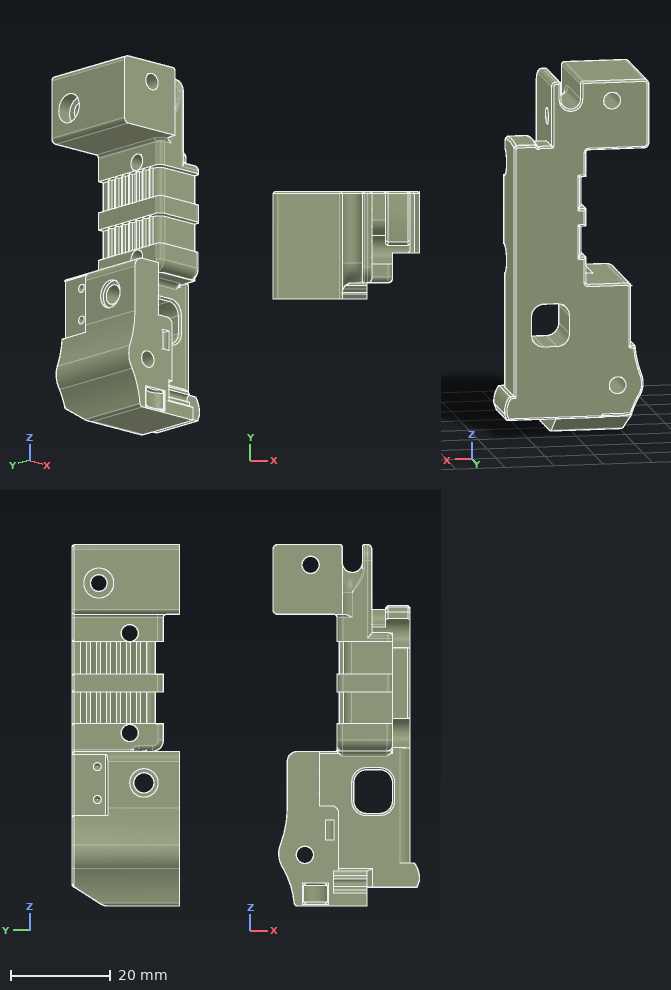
import cadquery as cq
import math

DEPTH = 21.6
HEIGHT = 72.5
BACK_CHAMFER = 0.4

PLATE_FRONT = 9.2
PLATE_LEFT = 9.3
PLATE_RIGHT = 27.5
PLATE_BOTTOM = 3.75
PLATE_EDGE_ROUND = 2.0
PLATE_EDGE_CHAMFER = 0.5

FOOT_TOP = 8.65
FOOT_TIP = 29.4

BLOCK_LEFT = 2.87
BLOCK_TOP = 31.0
BLOCK_TOP_ROUND = 2.0
BLOCK_STEP_X = 13.15
BLOCK_STEP_Z = 20.1
BLOCK_STEP_ROUND = 1.4
NOSE_HOLE_X = 6.42
NOSE_HOLE_Z = 10.27
BASE_RIGHT = 18.9
CORNER_CUT_Y = 6.4
CORNER_CUT_Z = 4.1
CORNER_CUT_ROUND = 3.0
BLOCK_ROOT_ROUND = 0.4

RAIL_LEFT = 12.2
RAIL_LIP = 2.65
RAIL_LIP_TOP = 3.2
RAIL_FRONT = 1.0
RAIL_NOSE = 1.3
RAIL_SHOULDER = 6.65
RAIL_SHOULDER_Y = 2.0
RAIL_BEVEL = 0.5
RAIL_CREST = 2.75
RAIL_TOP = 7.05
RAIL_GROOVE_Z = 4.7
RAIL_GROOVE_RADIUS = 0.75
GUSSET_WIDTH = 1.1
GUSSET_RISE = 0.45
GUSSET_DEPTH = 1.0

SLOT_X = 11.42
SLOT_Y = 0.47
SLOT_DIAMETER = 1.9
SLOT_BOTTOM = 13.25
SLOT_TOP = 17.3
POCKET_X = 8.55
POCKET_Y = -1.55
POCKET_DIAMETER = 6.0
POCKET_CHAMFER = 0.5
POCKET_MOUTH = 0.2
POCKET_BOTTOM = 0.35
POCKET_HEIGHT = 4.25
RECESS_FLOOR = 3.7
RECESS_SLANT = 0.45
RECESS_FRONT = 14.4
RECESS_BOTTOM = 18.15
RECESS_TOP = 30.4
PIN_DIAMETER = 1.6
PIN_DEPTH = 2.0
PIN_TIP_TAPER = 44.9
PIN_Y = 16.5
PIN_HEIGHTS = (21.35, 27.95)

WINDOW_LEFT = 16.25
WINDOW_RIGHT = 23.95
WINDOW_BOTTOM = 18.6
WINDOW_TOP = 27.3
WINDOW_ROUND = 2.5
WINDOW_CHAMFER = 0.45

BOLT_DIAMETER = 3.4
COUNTERBORE_DIAMETER = 6.0
HEAD_HOLE_X = 7.56
HEAD_HOLE_Z = 68.4
HEAD_BOLT_DIAMETER = 3.3
HEAD_BOLT_Y = 16.2
HEAD_BOLT_Z = 64.75
HEAD_COUNTERBORE_DEPTH = 3.0
LATCH_DIAMETER = 4.0
LATCH_COUNTERBORE = 5.7
LATCH_COUNTERBORE_DEPTH = 0.75
LATCH_Y = 7.16
LATCH_Z = 24.7

RING_LEFT = 12.84
RING_RIGHT = 24.0
RING_FRONT = 3.25
RING_LEFT_ROUND = 1.2
RING_RIGHT_ROUND = 0.9
LOW_RING_BOTTOM = 31.05
LOW_RING_TOP = 36.6
LOW_RING_ROUND = 1.1
LOW_RING_NOSE = 2.2
LOW_RING_ROOT = 1.1
MIDDLE_RING_BOTTOM = 42.9
MIDDLE_RING_TOP = 46.5
TOP_RING_BOTTOM = 53.0
COLUMN_LEFT = 14.15
COLUMN_FRONT = 4.85
COLUMN_ROUND = 1.6
RIB_LEFT = 13.3
RIB_PITCH = 2.0
RIB_COUNT = 7
RIB_WIDTH = 1.2
FIRST_RIB_Y = 6.65
BOLT_Y = 10.0
LOW_BOLT_Z = 34.7
TOP_BOLT_Z = 54.7

HEAD_RIGHT = 13.93
HEAD_BOTTOM = 58.45
HEAD_ROUND = 1.0
HEAD_INNER_ROUND = 0.6
SADDLE_RADIUS = 2.0
SADDLE_X = HEAD_RIGHT + SADDLE_RADIUS
SADDLE_BEND = 4.0
SADDLE_FLOOR = 66.9
WALL_LEFT = SADDLE_X + SADDLE_RADIUS
WALL_RIGHT = 19.83
WALL_CORNER_ROUND = 3.2
WALL_EDGE_ROUND = 0.9
WALL_INNER_ROUND = 0.4
NECK_ROUND = 0.6

SHELF_TOP = 54.85
SHELF_ROUND = 1.2
REST_TOP = 59.5
REST_FRONT = 12.75
REST_ROUND = 3.1
TAB_LEFT = 22.6
TAB_FRONT = 10.7
TAB_TOP = 60.3
TAB_SHOULDER = 59.8
TAB_CREST_Y = 15.8
TAB_NOSE_CHAMFER = 0.8
TAB_SIDE_CHAMFER = 0.45


def box(x0, x1, y0, y1, z0, z1):
    return cq.Workplane("XY").box(x1 - x0, y1 - y0, z1 - z0, centered=False).translate((x0, y0, z0))


def rod_x(diameter, x0, x1, y, z):
    return cq.Workplane("YZ", origin=(x0, y, z)).circle(diameter / 2).extrude(x1 - x0)


def rod_y(diameter, x, z, y0, y1):
    return cq.Workplane("XZ", origin=(x, y0, z)).circle(diameter / 2).extrude(y0 - y1)


def front_sketch(y):
    """Workplane facing -Y at depth y, with local axes X and Z."""
    return cq.Workplane("XZ", origin=(0, y, 0))


def side_sketch(x):
    """Workplane at position x with local axes Y and Z."""
    return cq.Workplane("YZ", origin=(x, 0, 0))


def edges_near(part, corner, opposite):
    """Edges whose centres lie in the box between two corners, widened by a small margin."""
    margin = 0.05
    low = tuple(value - margin for value in corner)
    high = tuple(value + margin for value in opposite)
    return part.edges(cq.selectors.BoxSelector(low, high))


def make_lower_block():
    """Block with a rounded nose on the left and the lower back corner cut away."""
    outline = (
        front_sketch(0)
        .moveTo(BASE_RIGHT, 0)
        .lineTo(4.9, 0)
        .threePointArc((4.45, 0.2), (4.25, 0.6))
        .threePointArc((3.5, 4.25), (2.1, 7.5))
        .threePointArc((1.15, 10.3), (1.45, 12.2))
        .threePointArc((2.5, 15.9), (BLOCK_LEFT, 19.7))
        .lineTo(BLOCK_LEFT, BLOCK_TOP - BLOCK_TOP_ROUND)
        .radiusArc((BLOCK_LEFT + BLOCK_TOP_ROUND, BLOCK_TOP), BLOCK_TOP_ROUND)
        .lineTo(PLATE_LEFT, BLOCK_TOP)
        .lineTo(PLATE_LEFT, BLOCK_STEP_Z)
        .lineTo(BLOCK_STEP_X - BLOCK_STEP_ROUND, BLOCK_STEP_Z)
        .radiusArc((BLOCK_STEP_X, BLOCK_STEP_Z - BLOCK_STEP_ROUND), BLOCK_STEP_ROUND)
        .lineTo(BLOCK_STEP_X, RAIL_TOP)
        .lineTo(BASE_RIGHT, RAIL_TOP)
        .close()
    )
    envelope = (
        side_sketch(0)
        .lineTo(DEPTH - CORNER_CUT_Y, 0)
        .lineTo(DEPTH, CORNER_CUT_Z)
        .lineTo(DEPTH, BLOCK_TOP)
        .lineTo(0, BLOCK_TOP)
        .close()
        .extrude(BASE_RIGHT)
    )
    envelope = envelope.faces("<Z").edges(">Y").fillet(CORNER_CUT_ROUND)
    return outline.extrude(-DEPTH).intersect(envelope)


def cut_rail(part):
    """Shape the front of the rail: sloped lip, round groove and sloped top edge."""
    cutter = (
        side_sketch(RAIL_LEFT)
        .moveTo(0, RAIL_LIP)
        .lineTo(RAIL_FRONT, RAIL_LIP_TOP)
        .lineTo(RAIL_FRONT, RAIL_GROOVE_Z - RAIL_GROOVE_RADIUS)
        .threePointArc(
            (RAIL_FRONT + RAIL_GROOVE_RADIUS, RAIL_GROOVE_Z),
            (RAIL_FRONT, RAIL_GROOVE_Z + RAIL_GROOVE_RADIUS),
        )
        .lineTo(RAIL_NOSE, RAIL_SHOULDER - RAIL_BEVEL)
        .lineTo(RAIL_SHOULDER_Y, RAIL_SHOULDER)
        .lineTo(RAIL_CREST, RAIL_TOP)
        .lineTo(0, RAIL_TOP)
        .close()
        .extrude(BASE_RIGHT - RAIL_LEFT)
    )
    return part.cut(cutter)


def make_rail_gusset():
    """Sloped foot that widens the rail where it meets the plate."""
    small = (BASE_RIGHT - BLOCK_STEP_X, RAIL_TOP - PLATE_BOTTOM)
    large = (small[0] + GUSSET_WIDTH, small[1] + GUSSET_RISE)
    tip = PLATE_FRONT - GUSSET_DEPTH
    return (
        cq.Workplane("XZ", origin=(BLOCK_STEP_X, tip, PLATE_BOTTOM))
        .rect(*small, centered=False)
        .workplane(offset=-GUSSET_DEPTH)
        .rect(*large, centered=False)
        .loft(ruled=True)
    )


def make_plate():
    """Plate with a rounded lower and a chamfered upper right edge, and the foot."""
    lower = box(PLATE_LEFT, RING_RIGHT, PLATE_FRONT, DEPTH, PLATE_BOTTOM, BLOCK_TOP)
    lower = lower.edges("|X and >Z and <Y").chamfer(BACK_CHAMFER)
    lower_edge = box(RING_RIGHT, PLATE_RIGHT, PLATE_FRONT, DEPTH, PLATE_BOTTOM, LOW_BOLT_Z)
    lower_edge = lower_edge.edges("|Z and >X and <Y").fillet(PLATE_EDGE_ROUND)
    upper_edge = box(RING_RIGHT, PLATE_RIGHT, PLATE_FRONT, DEPTH, LOW_BOLT_Z, TOP_BOLT_Z)
    upper_edge = upper_edge.edges("|Z and >X and <Y").chamfer(PLATE_EDGE_CHAMFER)
    foot = (
        front_sketch(PLATE_FRONT)
        .moveTo(BASE_RIGHT, PLATE_BOTTOM)
        .lineTo(FOOT_TIP - 0.5, PLATE_BOTTOM)
        .lineTo(FOOT_TIP, 5.1)
        .threePointArc((29.13, 7.2), (28.35, FOOT_TOP))
        .lineTo(BASE_RIGHT, FOOT_TOP)
        .close()
        .extrude(PLATE_FRONT - DEPTH)
    )
    return lower.union(lower_edge).union(upper_edge).union(foot)


def make_ring(bottom, top):
    ring = box(RING_LEFT, RING_RIGHT, RING_FRONT, DEPTH, bottom, top)
    ring = ring.edges("|Z and <Y and <X").fillet(RING_LEFT_ROUND)
    return ring.edges("|Z and <Y and >X").fillet(RING_RIGHT_ROUND)


def make_low_ring():
    """Lowest ring, rounded below and blended into the front of the plate."""
    ring = (
        side_sketch(RING_LEFT)
        .moveTo(DEPTH, LOW_RING_BOTTOM - LOW_RING_ROOT)
        .lineTo(PLATE_FRONT, LOW_RING_BOTTOM - LOW_RING_ROOT)
        .radiusArc((PLATE_FRONT - LOW_RING_ROOT, LOW_RING_BOTTOM), -LOW_RING_ROOT)
        .lineTo(RING_FRONT + LOW_RING_NOSE, LOW_RING_BOTTOM)
        .radiusArc((RING_FRONT, LOW_RING_BOTTOM + LOW_RING_NOSE), LOW_RING_NOSE)
        .lineTo(RING_FRONT, LOW_RING_TOP)
        .lineTo(DEPTH, LOW_RING_TOP)
        .close()
        .extrude(RING_RIGHT - RING_LEFT)
    )
    for side in ("<X", ">X"):
        ring = ring.faces(side).edges("not(>Y or >Z or <Z)").fillet(LOW_RING_ROUND)
    return ring


def make_column():
    """Column between the rings, with sawtooth ribs along its left side."""
    column = box(COLUMN_LEFT, RING_RIGHT, COLUMN_FRONT, DEPTH, LOW_RING_BOTTOM, TOP_RING_BOTTOM)
    column = column.edges("|Z and <Y and <X").fillet(COLUMN_ROUND)
    for index in range(RIB_COUNT):
        y = FIRST_RIB_Y + index * RIB_PITCH
        rib = (
            cq.Workplane("XY", origin=(0, 0, LOW_RING_BOTTOM))
            .moveTo(COLUMN_LEFT, y)
            .lineTo(RIB_LEFT, y)
            .lineTo(COLUMN_LEFT, y + RIB_WIDTH)
            .close()
            .extrude(TOP_RING_BOTTOM - LOW_RING_BOTTOM)
        )
        column = column.union(rib)
    return column


def make_head():
    head = box(0, HEAD_RIGHT, 0, DEPTH, HEAD_BOTTOM, HEIGHT)
    head = head.edges("|Y and <X").fillet(HEAD_ROUND)
    return head.edges("|Y and >X and >Z").fillet(HEAD_INNER_ROUND)


def make_wall():
    wall = box(WALL_LEFT, WALL_RIGHT, RING_FRONT, DEPTH, TOP_RING_BOTTOM, HEIGHT)
    wall = wall.edges("|X and <Y and >Z").fillet(WALL_CORNER_ROUND)
    return wall.faces(">X").edges("not(>Y or <Z)").fillet(WALL_EDGE_ROUND)


def make_saddle():
    """Web between head and wall, hollowed by a wire trough that bends from level to upright."""
    axis_z = SADDLE_FLOOR + SADDLE_RADIUS
    bend_radius = SADDLE_BEND + SADDLE_RADIUS
    bend_z = axis_z - bend_radius
    front = RING_FRONT - SADDLE_RADIUS
    bend_y = front + bend_radius
    bend_middle = bend_radius * math.sqrt(0.5)

    def bent_path(start):
        return (
            start.moveTo(DEPTH, axis_z)
            .lineTo(bend_y, axis_z)
            .threePointArc((bend_y - bend_middle, bend_z + bend_middle), (front, bend_z))
            .lineTo(front, HEAD_BOTTOM)
        )

    web_outline = bent_path(side_sketch(HEAD_RIGHT)).lineTo(DEPTH, HEAD_BOTTOM).close()
    web = web_outline.extrude(WALL_LEFT - HEAD_RIGHT)
    trough = (
        cq.Workplane("XZ", origin=(SADDLE_X, DEPTH, axis_z))
        .circle(SADDLE_RADIUS)
        .sweep(bent_path(side_sketch(SADDLE_X)))
    )
    ahead_of_wall = box(SADDLE_X, WALL_LEFT, front, RING_FRONT, HEAD_BOTTOM, HEIGHT)
    neck = box(RING_LEFT, WALL_LEFT, RING_FRONT, DEPTH, TOP_RING_BOTTOM, HEAD_BOTTOM)
    neck = neck.edges("|Z and <X and <Y").fillet(RING_LEFT_ROUND)
    return web.cut(trough).cut(ahead_of_wall).union(neck)


def make_upper_part():
    """Head, wall and saddle with the rounds along their common edges."""
    upper = make_wall().union(make_saddle())
    front_edges = edges_near(
        upper, (SADDLE_X + SADDLE_RADIUS / 4, RING_FRONT, HEAD_BOTTOM), (WALL_LEFT, RING_FRONT, HEIGHT)
    )
    corner_z = HEIGHT - WALL_CORNER_ROUND
    top_edges = edges_near(upper, (WALL_LEFT, RING_FRONT, corner_z), (WALL_LEFT, DEPTH - 1, HEIGHT))
    upper = front_edges.add(top_edges).fillet(WALL_INNER_ROUND)
    upper = upper.union(make_head())
    neck_edges = edges_near(upper, (RING_LEFT, RING_FRONT, HEAD_BOTTOM), (SADDLE_X, DEPTH - 1, HEAD_BOTTOM))
    return neck_edges.fillet(NECK_ROUND)


def make_hook():
    """Shelf on the top ring with the rounded rest and the hook tab behind it."""
    shelf = box(SADDLE_X, RING_RIGHT, RING_FRONT, DEPTH, TOP_RING_BOTTOM, SHELF_TOP)
    shelf = shelf.edges("|X and <Y and >Z").fillet(SHELF_ROUND)
    shelf = shelf.edges("|Z and <Y and >X").fillet(RING_RIGHT_ROUND)
    rest = box(WALL_LEFT, TAB_LEFT, REST_FRONT, DEPTH, TOP_RING_BOTTOM, REST_TOP)
    rest = rest.edges("|X and <Y and >Z").fillet(REST_ROUND)
    tab = (
        side_sketch(TAB_LEFT)
        .moveTo(DEPTH, TOP_BOLT_Z)
        .lineTo(DEPTH, TAB_SHOULDER)
        .threePointArc((TAB_CREST_Y, TAB_TOP), (TAB_FRONT, TAB_SHOULDER))
        .lineTo(TAB_FRONT, TOP_BOLT_Z)
        .close()
        .extrude(PLATE_RIGHT - TAB_LEFT)
    )
    tab = tab.faces("<Y").edges(">Z").chamfer(TAB_NOSE_CHAMFER)
    tab = tab.faces(">X").edges("not(>Y or <Z)").chamfer(TAB_SIDE_CHAMFER)
    tab = tab.faces("<X").edges("not(>Y or <Z)").chamfer(TAB_SIDE_CHAMFER)
    return shelf.union(rest).union(tab)


def make_block_root():
    """Concave fillet between the top of the lower block and the low ring."""
    return (
        front_sketch(PLATE_FRONT)
        .moveTo(RING_LEFT, BLOCK_TOP + BLOCK_ROOT_ROUND)
        .radiusArc((RING_LEFT - BLOCK_ROOT_ROUND, BLOCK_TOP), BLOCK_ROOT_ROUND)
        .lineTo(RING_RIGHT, BLOCK_TOP)
        .lineTo(RING_RIGHT, BLOCK_TOP + BLOCK_ROOT_ROUND)
        .close()
        .extrude(PLATE_FRONT - DEPTH)
    )


def cut_bolt_holes(part):
    for z, seat in ((LOW_BOLT_Z, RING_RIGHT), (TOP_BOLT_Z, WALL_RIGHT)):
        part = part.cut(rod_x(BOLT_DIAMETER, 0, FOOT_TIP, BOLT_Y, z))
        part = part.cut(rod_x(COUNTERBORE_DIAMETER, seat, FOOT_TIP, BOLT_Y, z))
    part = part.cut(rod_y(BOLT_DIAMETER, NOSE_HOLE_X, NOSE_HOLE_Z, 0, DEPTH))
    part = part.cut(rod_y(BOLT_DIAMETER, HEAD_HOLE_X, HEAD_HOLE_Z, 0, DEPTH))
    part = part.cut(rod_x(HEAD_BOLT_DIAMETER, 0, WALL_RIGHT, HEAD_BOLT_Y, HEAD_BOLT_Z))
    part = part.cut(rod_x(COUNTERBORE_DIAMETER, 0, HEAD_COUNTERBORE_DEPTH, HEAD_BOLT_Y, HEAD_BOLT_Z))
    part = part.cut(rod_x(LATCH_DIAMETER, 0, PLATE_LEFT, LATCH_Y, LATCH_Z))
    latch_seat = BLOCK_LEFT + LATCH_COUNTERBORE_DEPTH
    return part.cut(rod_x(LATCH_COUNTERBORE, 0, latch_seat, LATCH_Y, LATCH_Z))


def cut_window(part):
    """Rounded window through the plate with a chamfered front rim."""
    window = box(WINDOW_LEFT, WINDOW_RIGHT, PLATE_FRONT, DEPTH, WINDOW_BOTTOM, WINDOW_TOP)
    window = window.edges("|Y").fillet(WINDOW_ROUND)
    part = part.cut(window)
    rim = edges_near(
        part, (WINDOW_LEFT, PLATE_FRONT, WINDOW_BOTTOM), (WINDOW_RIGHT, PLATE_FRONT, WINDOW_TOP)
    )
    return rim.chamfer(WINDOW_CHAMFER)


def cut_block_pockets(part):
    """Slot and round-backed pocket in the front of the lower block."""
    slot = (
        cq.Workplane("XY", origin=(SLOT_X, SLOT_Y, SLOT_BOTTOM))
        .circle(SLOT_DIAMETER / 2)
        .extrude(SLOT_TOP - SLOT_BOTTOM)
    )
    pocket = (
        cq.Workplane("XY", origin=(POCKET_X, POCKET_Y, POCKET_BOTTOM))
        .circle(POCKET_DIAMETER / 2)
        .extrude(POCKET_HEIGHT)
        .faces("<Z or >Z")
        .edges()
        .chamfer(POCKET_CHAMFER)
    )
    half_chord = math.sqrt((POCKET_DIAMETER / 2) ** 2 - POCKET_Y**2)
    mouth = box(
        POCKET_X - half_chord,
        POCKET_X + half_chord,
        0,
        POCKET_MOUTH,
        POCKET_BOTTOM,
        POCKET_BOTTOM + POCKET_HEIGHT,
    )
    return part.cut(slot).cut(pocket).cut(mouth)


def cut_recess(part):
    """Flat seat with two pin holes on the left side of the lower block."""
    seat = (
        cq.Workplane("XY", origin=(0, 0, RECESS_BOTTOM))
        .moveTo(0, DEPTH)
        .lineTo(0, RECESS_FRONT)
        .lineTo(BLOCK_LEFT, RECESS_FRONT)
        .lineTo(RECESS_FLOOR, RECESS_FRONT + RECESS_SLANT)
        .lineTo(RECESS_FLOOR, DEPTH)
        .close()
        .extrude(RECESS_TOP - RECESS_BOTTOM)
    )
    part = part.cut(seat)
    for z in PIN_HEIGHTS:
        pin = rod_x(PIN_DIAMETER, RECESS_FLOOR, RECESS_FLOOR + PIN_DEPTH, PIN_Y, z)
        tip = (
            side_sketch(RECESS_FLOOR + PIN_DEPTH)
            .center(PIN_Y, z)
            .circle(PIN_DIAMETER / 2)
            .extrude(PIN_DIAMETER / 2, taper=PIN_TIP_TAPER)
        )
        part = part.cut(pin).cut(tip)
    return part


def chamfer_back(part):
    """Replace the rearmost layer by one that tapers along the outline at 45 degrees."""
    layer_front = DEPTH - BACK_CHAMFER
    outline = part.faces(">Y").val().outerWire().translate(cq.Vector(0, -BACK_CHAMFER, 0))
    layer = front_sketch(layer_front).add(outline).toPending().extrude(-BACK_CHAMFER, taper=45)
    trimmed = part.cut(box(0, FOOT_TIP, layer_front, DEPTH, 0, HEIGHT))
    return trimmed.union(layer)


result = cut_rail(make_lower_block()).union(make_rail_gusset()).union(make_plate())
result = result.union(make_column()).union(make_low_ring()).union(make_block_root())
result = result.union(make_ring(MIDDLE_RING_BOTTOM, MIDDLE_RING_TOP))
result = result.union(make_upper_part()).union(make_hook())
result = chamfer_back(cut_recess(result))
result = cut_window(result)
result = cut_block_pockets(cut_bolt_holes(result))